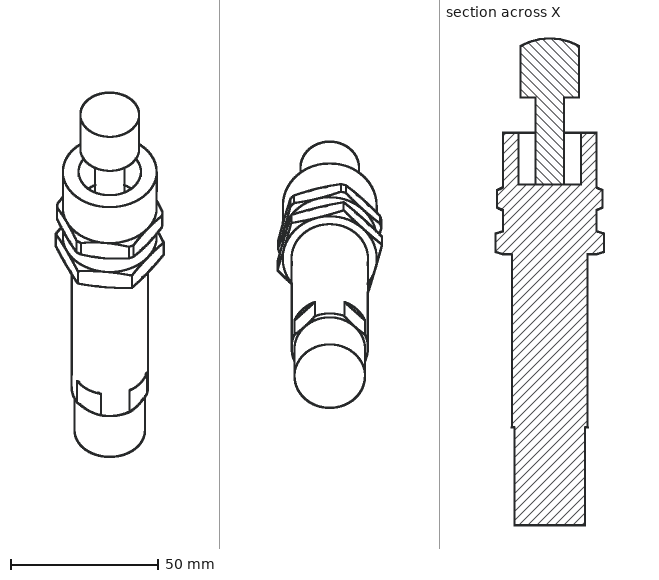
import cadquery as cq
import math

total_height = 165.7
shoulder_z = 21.2
flats_top_z = 33.3
lower_hex_z = 92.1
upper_hex_z = 107.0
sleeve_top_z = 133.5
cap_bottom_z = 145.5
cap_edge_z = 163.0
hex_height = 8.0

end_diameter = 24.0
tube_diameter = 26.0
sleeve_diameter = 32.0
bore_diameter = 21.2
rod_diameter = 10.0
cap_diameter = 20.0
hex_width = 32.0
hex_corner_diameter = hex_width / math.cos(math.radians(30))
upper_hex_corner_diameter = 36.0
lower_hex_bevel = 0.8
upper_hex_bevel = 1.0

stroke = cap_edge_z - sleeve_top_z
bore_floor_z = cap_bottom_z - stroke


def cylinder(diameter, bottom_z, top_z):
    """Upright cylinder on the part axis."""
    return cq.Workplane("XY").workplane(offset=bottom_z).circle(diameter / 2).extrude(top_z - bottom_z)


def bevelled_hex(bottom_z, corner_diameter, bevel):
    """Hexagon with corners along Y, trimmed to a turned disc bevelled at both ends."""
    top_z = bottom_z + hex_height
    hexagon = (
        cq.Workplane("XY")
        .workplane(offset=bottom_z)
        .transformed(rotate=(0, 0, 90))
        .polygon(6, hex_corner_diameter)
        .extrude(hex_height)
    )
    end_radius = hex_width / 2
    corner_radius = corner_diameter / 2
    turned_disc = (
        cq.Workplane("XZ")
        .moveTo(0, bottom_z)
        .lineTo(end_radius, bottom_z)
        .lineTo(corner_radius, bottom_z + bevel)
        .lineTo(corner_radius, top_z - bevel)
        .lineTo(end_radius, top_z)
        .lineTo(0, top_z)
        .close()
        .revolve(360, (0, 0, 0), (0, 1, 0))
    )
    return hexagon.intersect(turned_disc)


def make_tube():
    """Tube with a bevelled shoulder, a reduced end and four wrench flats."""
    shoulder_bevel = (tube_diameter - end_diameter) / 2
    tube = cylinder(tube_diameter, shoulder_z, lower_hex_z).faces("<Z").chamfer(shoulder_bevel)
    flats_height = flats_top_z - shoulder_z
    flats_core = (
        cq.Workplane("XY").workplane(offset=shoulder_z).rect(end_diameter, end_diameter).extrude(flats_height)
    )
    flats_cutter = cylinder(sleeve_diameter, shoulder_z, flats_top_z).cut(flats_core)
    return tube.cut(flats_cutter).union(cylinder(end_diameter, 0, shoulder_z))


def make_housing():
    """Tube and sleeve with two hexagons and a blind bore from the top."""
    housing = make_tube().union(cylinder(sleeve_diameter, lower_hex_z, sleeve_top_z))
    housing = housing.union(bevelled_hex(lower_hex_z, hex_corner_diameter, lower_hex_bevel))
    housing = housing.union(bevelled_hex(upper_hex_z, upper_hex_corner_diameter, upper_hex_bevel))
    return housing.cut(cylinder(bore_diameter, bore_floor_z, sleeve_top_z))


def make_plunger():
    """Rod standing on the bore floor, with a domed cap."""
    cap_radius = cap_diameter / 2
    dome_height = total_height - cap_edge_z
    dome_radius = (cap_radius**2 + dome_height**2) / (2 * dome_height)
    dome_centre_z = total_height - dome_radius
    half_arc_angle = math.asin(cap_radius / dome_radius) / 2
    dome_midpoint = (
        dome_radius * math.sin(half_arc_angle),
        dome_centre_z + dome_radius * math.cos(half_arc_angle),
    )
    return (
        cq.Workplane("XZ")
        .moveTo(0, bore_floor_z)
        .lineTo(rod_diameter / 2, bore_floor_z)
        .lineTo(rod_diameter / 2, cap_bottom_z)
        .lineTo(cap_radius, cap_bottom_z)
        .lineTo(cap_radius, cap_edge_z)
        .threePointArc(dome_midpoint, (0, total_height))
        .close()
        .revolve(360, (0, 0, 0), (0, 1, 0))
    )


housing = make_housing()
plunger = make_plunger()
result = cq.Compound.makeCompound([housing.val(), plunger.val()])